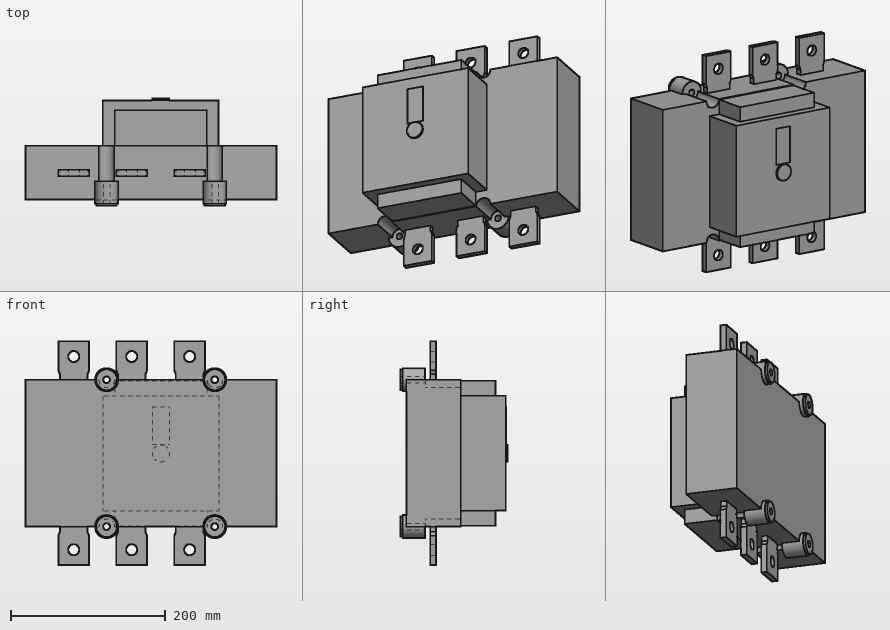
import cadquery as cq

BODY_WIDTH = 325
BODY_DEPTH = 70
BODY_HEIGHT = 190
LEFT_SIDE = -BODY_WIDTH / 2

TAB_FIRST_OFFSET = 62.5
TAB_PITCH = 75
TAB_COUNT = 3
TAB_WIDTH = 40
TAB_THICKNESS = 8
TAB_FRONT = 30.5
TAB_LENGTH = 50
NECK_WIDTH = 36
NECK_LENGTH = 7
SHOULDER_LENGTH = 5
TAB_HOLE_DIAMETER = 14
TAB_HOLE_FROM_TIP = 20

DRIVE_CENTRE_X = LEFT_SIDE + 175
DRIVE_WIDTH = 150
DRIVE_HEIGHT = 149
DRIVE_DEPTH = 58.5
INNER_WIDTH = 119
INNER_HEIGHT = 188
INNER_DEPTH = 45.5

KNOB_DIAMETER = 22
KNOB_THICKNESS = 2.5
PLATE_TOP = 60
PLATE_GAP = 0.5
PLATE_WIDTH = KNOB_DIAMETER
PLATE_THICKNESS = 0.5

SLEEVE_SPACING = 140
GROOVE_DIAMETER = 20
SLEEVE_DIAMETER = 30
SLEEVE_LENGTH = 29
SLEEVE_OVERHANG = 5
COLLAR_DIAMETER = 27
COLLAR_LENGTH = 3
BORE_DIAMETER = 8.4


def block(width, depth, height, centre_x, front_y):
    """Box centred on Z = 0 that runs back from front_y."""
    return (
        cq.Workplane("XY")
        .box(width, depth, height, centered=(True, False, True))
        .translate((centre_x, front_y, 0))
    )


def rod(diameter, x, z, front_y, length):
    """Cylinder along Y that runs back from front_y."""
    return cq.Workplane(cq.Solid.makeCylinder(
        diameter / 2, length, cq.Vector(x, front_y, z), cq.Vector(0, 1, 0)))


def terminal_tab(x, side):
    """Flat tab with a narrow neck and a hole; side is +1 for top, -1 for bottom."""
    root = BODY_HEIGHT / 2
    tip = root + TAB_LENGTH
    shoulder_start = root + NECK_LENGTH
    shoulder_end = shoulder_start + SHOULDER_LENGTH
    right_edge = [
        (NECK_WIDTH / 2, root),
        (NECK_WIDTH / 2, shoulder_start),
        (TAB_WIDTH / 2, shoulder_end),
        (TAB_WIDTH / 2, tip),
    ]
    left_edge = [(-px, pz) for px, pz in reversed(right_edge)]
    outline = [(x + px, side * pz) for px, pz in right_edge + left_edge]
    plate = (
        cq.Workplane("XZ", origin=(0, TAB_FRONT, 0))
        .polyline(outline)
        .close()
        .extrude(-TAB_THICKNESS)
    )
    hole_z = side * (tip - TAB_HOLE_FROM_TIP)
    return plate.cut(rod(TAB_HOLE_DIAMETER, x, hole_z, TAB_FRONT, TAB_THICKNESS))


def mounting_groove(x, z):
    """Cutter for the half-round groove over the full housing depth."""
    return rod(GROOVE_DIAMETER, x, z, 0, BODY_DEPTH)


def mounting_sleeve(x, z):
    """Bored sleeve with a smaller collar at its front end."""
    sleeve_front = -SLEEVE_OVERHANG
    sleeve = rod(SLEEVE_DIAMETER, x, z, sleeve_front, SLEEVE_LENGTH)
    collar_front = sleeve_front - COLLAR_LENGTH
    sleeve = sleeve.union(rod(COLLAR_DIAMETER, x, z, collar_front, COLLAR_LENGTH))
    return sleeve.cut(rod(BORE_DIAMETER, x, z, collar_front, COLLAR_LENGTH + SLEEVE_LENGTH))


def drive_unit():
    outer = block(DRIVE_WIDTH, DRIVE_DEPTH, DRIVE_HEIGHT, DRIVE_CENTRE_X, BODY_DEPTH)
    inner = block(INNER_WIDTH, INNER_DEPTH, INNER_HEIGHT, DRIVE_CENTRE_X, BODY_DEPTH)
    return outer.union(inner)


def knob():
    """Round knob on the centre of the drive unit's back face."""
    return rod(KNOB_DIAMETER, DRIVE_CENTRE_X, 0, BODY_DEPTH + DRIVE_DEPTH, KNOB_THICKNESS)


def marking_plate():
    """Thin plate above the knob on the drive unit's back face."""
    bottom = KNOB_DIAMETER / 2 + PLATE_GAP
    height = PLATE_TOP - bottom
    plate = block(PLATE_WIDTH, PLATE_THICKNESS, height, DRIVE_CENTRE_X, BODY_DEPTH + DRIVE_DEPTH)
    return plate.translate((0, 0, bottom + height / 2))


sleeve_places = [
    (DRIVE_CENTRE_X + x_side * SLEEVE_SPACING / 2, z_side * BODY_HEIGHT / 2)
    for x_side in (-1, 1)
    for z_side in (-1, 1)
]
body = block(BODY_WIDTH, BODY_DEPTH, BODY_HEIGHT, 0, 0)
for x, z in sleeve_places:
    body = body.cut(mounting_groove(x, z))

result = body.union(drive_unit()).union(knob()).union(marking_plate())
for x, z in sleeve_places:
    result = result.cut(rod(SLEEVE_DIAMETER, x, z, 0, SLEEVE_LENGTH - SLEEVE_OVERHANG))
    result = result.union(mounting_sleeve(x, z))

for index in range(TAB_COUNT):
    tab_x = LEFT_SIDE + TAB_FIRST_OFFSET + index * TAB_PITCH
    for side in (1, -1):
        result = result.union(terminal_tab(tab_x, side))